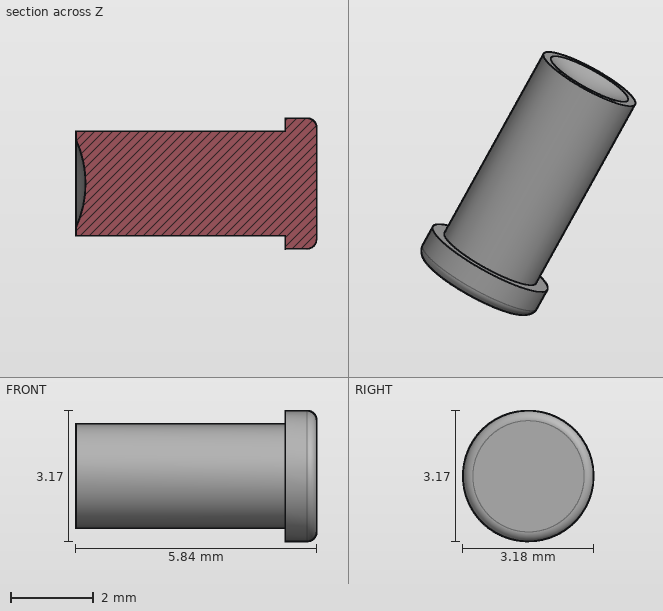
import cadquery as cq
import math

total_length = 5.84
shank_diameter = 2.54
head_diameter = 3.175
head_thickness = 0.765
head_edge_radius = 0.24

dimple_diameter = 2.13
dimple_depth = 0.235

dimple_radius = dimple_diameter / 2
sphere_radius = (dimple_radius**2 + dimple_depth**2) / (2 * dimple_depth)
half_angle = math.asin(dimple_radius / sphere_radius) / 2
arc_midpoint = (
    dimple_depth - sphere_radius * (1 - math.cos(half_angle)),
    sphere_radius * math.sin(half_angle),
)
shank_length = total_length - head_thickness


def make_shank():
    return cq.Workplane("YZ").circle(shank_diameter / 2).extrude(shank_length)


def make_head():
    base = cq.Workplane("YZ", origin=(shank_length, 0, 0))
    head = base.circle(head_diameter / 2).extrude(head_thickness)
    return head.faces(">X").edges().fillet(head_edge_radius)


def make_dimple():
    """Spherical cap revolved about X, reaching dimple_depth into the shank end."""
    cap_profile = (
        cq.Workplane("XY")
        .lineTo(0, dimple_radius)
        .threePointArc(arc_midpoint, (dimple_depth, 0))
        .close()
    )
    return cap_profile.revolve(360, (0, 0, 0), (1, 0, 0))


result = make_shank().union(make_head()).cut(make_dimple())